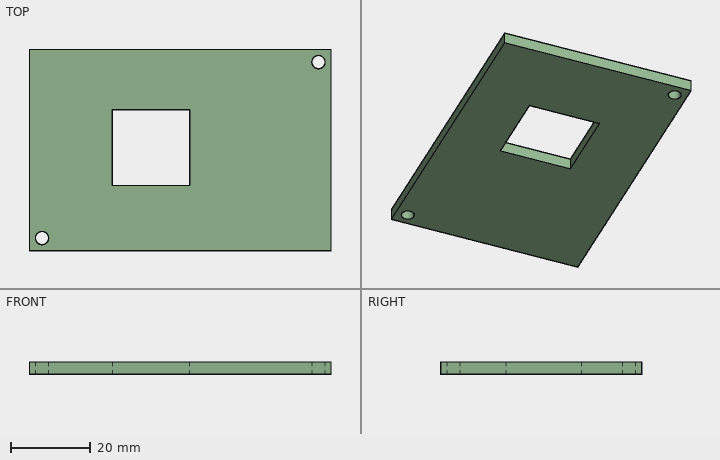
import cadquery as cq

length = 76.2
width = 50.8
thickness = 3.2

window_length = 19.5
window_width = 19.05
window_left = 20.95
window_bottom = 16.5

hole_diameter = 3.3
hole_inset = 3.2

plate = cq.Workplane("XY").box(length, width, thickness, centered=False)

window = (
    cq.Workplane("XY")
    .box(window_length, window_width, thickness, centered=False)
    .translate((window_left, window_bottom, 0))
)

hole_centers = [
    (hole_inset, hole_inset),
    (length - hole_inset, width - hole_inset),
]
holes = (
    cq.Workplane("XY")
    .pushPoints(hole_centers)
    .circle(hole_diameter / 2)
    .extrude(thickness)
)

result = plate.cut(window).cut(holes)